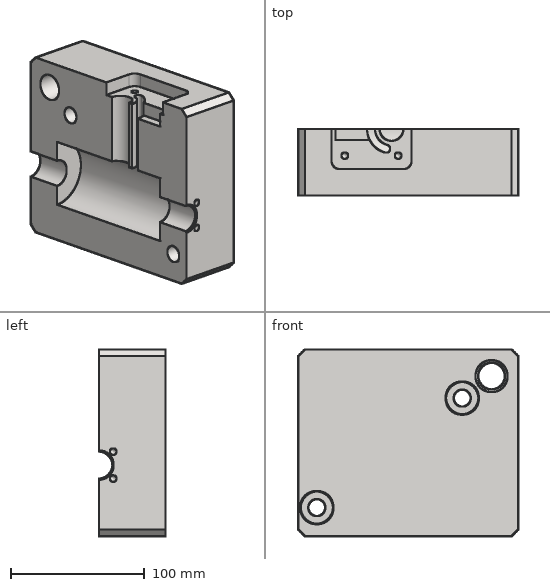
import cadquery as cq
import math

LENGTH = 165.0
THICKNESS = 50.0
HEIGHT = 140.0
CORNER_CHAMFER = 5.1
SPLIT_Y = THICKNESS

AXIS_Z = 53.3
BORE_RADIUS = 10.0
BORE_CHAMFER = 1.0
CHAMBER_RADIUS = 25.0
CHAMBER_WALL = 28.0

POCKET_START = 25.0
POCKET_END = 85.0
POCKET_WIDTH = 30.0
POCKET_DEPTH = 10.0
POCKET_CORNER_RADIUS = 6.0
POCKET_FLOOR = HEIGHT - POCKET_DEPTH

PORT_X = 70.0
PORT_RADIUS = 8.9
ARC_SLOT_RADIUS = 15.3
ARC_SLOT_WIDTH = 6.0
ARC_SLOT_SWEEP = 75.0
RECESS_START = 28.0
RECESS_WIDTH = 8.1
RECESS_DEPTH = 10.0

SCREW_RADIUS = 2.5
SCREW_DEPTH = 10.0
DRILL_POINT_ANGLE = 118.0
POCKET_SCREW_X = (35.0, 74.9)
POCKET_SCREW_FROM_SPLIT = 20.0
SIDE_SCREW_FROM_SPLIT = 10.7
SIDE_SCREW_OFFSET = 10.0

BOLT_CENTRES = ((14.0, 21.5), (123.0, 103.5))
BOLT_RADIUS = 6.3
COUNTERBORE_RADIUS = 12.0
COUNTERBORE_DEPTH = 5.0
COUNTERBORE_CHAMFER = 0.5
GUIDE_CENTRE = (144.9, 120.0)
GUIDE_RADIUS = 9.9
GUIDE_CHAMFER = 2.1

ALONG_X = cq.Vector(1, 0, 0)
ALONG_Y = cq.Vector(0, 1, 0)
DOWN = cq.Vector(0, 0, -1)


def cylinder(radius, depth, start, direction):
    return cq.Workplane(cq.Solid.makeCylinder(radius, depth, start, direction))


def rim_chamfer(radius, size, start, direction):
    """45 degree cone that breaks the rim of a hole of the given radius."""
    return cq.Workplane(cq.Solid.makeCone(radius + size, radius, size, start, direction))


def box(x_start, x_end, y_start, y_end, z_start, z_end):
    size = (x_end - x_start, y_end - y_start, z_end - z_start)
    return cq.Workplane().box(*size, centered=False).translate((x_start, y_start, z_start))


def make_block():
    block = box(0, LENGTH, 0, THICKNESS, 0, HEIGHT)
    return block.edges("|Y").chamfer(CORNER_CHAMFER)


def make_shaft_space():
    bore_start = cq.Vector(0, SPLIT_Y, AXIS_Z)
    chamber_start = cq.Vector(CHAMBER_WALL, SPLIT_Y, AXIS_Z)
    bore = cylinder(BORE_RADIUS, LENGTH, bore_start, ALONG_X)
    rim = rim_chamfer(BORE_RADIUS, BORE_CHAMFER, bore_start, ALONG_X)
    chamber = cylinder(CHAMBER_RADIUS, LENGTH - 2 * CHAMBER_WALL, chamber_start, ALONG_X)
    return bore.union(rim).union(chamber)


def make_pocket():
    pocket = box(POCKET_START, POCKET_END, SPLIT_Y - POCKET_WIDTH, SPLIT_Y + POCKET_WIDTH,
                 POCKET_FLOOR, HEIGHT)
    return pocket.edges("|Z").fillet(POCKET_CORNER_RADIUS)


def make_recess():
    return box(RECESS_START, PORT_X - ARC_SLOT_RADIUS, SPLIT_Y - RECESS_WIDTH, SPLIT_Y,
               POCKET_FLOOR - RECESS_DEPTH, POCKET_FLOOR)


def make_chamber_openings():
    """Round port and concentric arc slot from the pocket floor down into the chamber."""
    depth = POCKET_FLOOR - AXIS_Z
    port = cylinder(PORT_RADIUS, depth, cq.Vector(PORT_X, SPLIT_Y, POCKET_FLOOR), DOWN)

    def slot_point(radius, degrees):
        angle = math.radians(180 + degrees)
        return (PORT_X + radius * math.cos(angle), SPLIT_Y + radius * math.sin(angle))

    inner = ARC_SLOT_RADIUS - ARC_SLOT_WIDTH / 2
    outer = ARC_SLOT_RADIUS + ARC_SLOT_WIDTH / 2
    middle = ARC_SLOT_SWEEP / 2
    slot = (
        cq.Workplane("XY", origin=(0, 0, AXIS_Z))
        .moveTo(*slot_point(outer, 0))
        .threePointArc(slot_point(outer, middle), slot_point(outer, ARC_SLOT_SWEEP))
        .lineTo(*slot_point(inner, ARC_SLOT_SWEEP))
        .threePointArc(slot_point(inner, middle), slot_point(inner, 0))
        .close()
        .extrude(depth)
    )
    end_x, end_y = slot_point(ARC_SLOT_RADIUS, ARC_SLOT_SWEEP)
    slot_end = cylinder(ARC_SLOT_WIDTH / 2, depth, cq.Vector(end_x, end_y, POCKET_FLOOR), DOWN)
    return port.union(slot).union(slot_end)


def screw_hole(start, direction):
    point_length = SCREW_RADIUS / math.tan(math.radians(DRILL_POINT_ANGLE / 2))
    shank = cylinder(SCREW_RADIUS, SCREW_DEPTH, start, direction)
    point_start = start + direction * SCREW_DEPTH
    point = cq.Workplane(cq.Solid.makeCone(SCREW_RADIUS, 0, point_length, point_start, direction))
    return shank.union(point)


def bolt_hole(x, z):
    start = cq.Vector(x, 0, z)
    hole = cylinder(BOLT_RADIUS, THICKNESS, start, ALONG_Y)
    counterbore = cylinder(COUNTERBORE_RADIUS, COUNTERBORE_DEPTH, start, ALONG_Y)
    rim = rim_chamfer(COUNTERBORE_RADIUS, COUNTERBORE_CHAMFER, start, ALONG_Y)
    return hole.union(counterbore).union(rim)


def guide_hole(x, z):
    start = cq.Vector(x, 0, z)
    hole = cylinder(GUIDE_RADIUS, THICKNESS, start, ALONG_Y)
    return hole.union(rim_chamfer(GUIDE_RADIUS, GUIDE_CHAMFER, start, ALONG_Y))


def make_screw_holes():
    """Two holes in the pocket floor and two beside the bore in the -X face."""
    pocket_y = SPLIT_Y - POCKET_SCREW_FROM_SPLIT
    side_y = SPLIT_Y - SIDE_SCREW_FROM_SPLIT
    holes = [screw_hole(cq.Vector(x, pocket_y, POCKET_FLOOR), DOWN) for x in POCKET_SCREW_X]
    for offset in (-SIDE_SCREW_OFFSET, SIDE_SCREW_OFFSET):
        holes.append(screw_hole(cq.Vector(0, side_y, AXIS_Z + offset), ALONG_X))
    return holes


cutters = [make_shaft_space(), make_pocket(), make_recess(), make_chamber_openings()]
cutters += make_screw_holes()
cutters += [bolt_hole(*centre) for centre in BOLT_CENTRES]
cutters.append(guide_hole(*GUIDE_CENTRE))

result = make_block()
for cutter in cutters:
    result = result.cut(cutter)